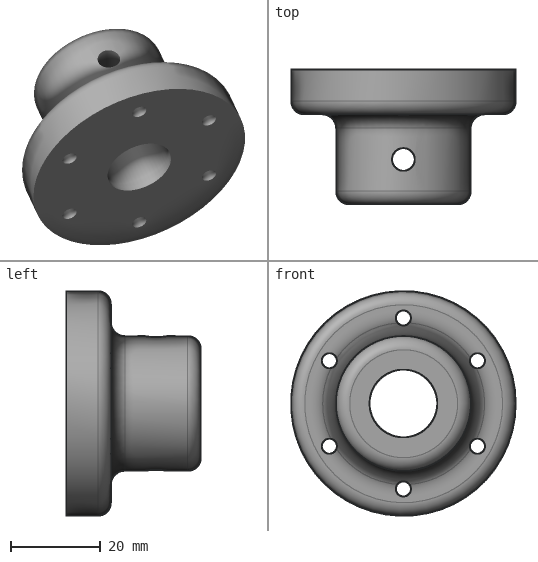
import cadquery as cq

flange_diameter = 50.0
flange_thickness = 10.0
hub_diameter = 30.0
hub_length = 20.0
bore_diameter = 15.0
edge_radius = 3.0
bolt_circle_diameter = 38.0
bolt_hole_diameter = 3.3
bolt_count = 6
cross_hole_diameter = 5.0

flange_radius = flange_diameter / 2
hub_radius = hub_diameter / 2
total_length = flange_thickness + hub_length
cross_hole_y = -flange_thickness - hub_length / 2


def flanged_hub():
    """Solid flange and hub along Y, with the flange back face at Y = 0."""
    flange = cq.Workplane("XZ").circle(flange_radius).extrude(flange_thickness)
    body = flange.faces("<Y").workplane().circle(hub_radius).extrude(hub_length)
    back_edge_y = -edge_radius
    rounded_edges = cq.selectors.BoxSelector(
        (-flange_diameter, -2 * total_length, -flange_diameter),
        (flange_diameter, back_edge_y, flange_diameter),
    )
    return body.edges("%CIRCLE").edges(rounded_edges).fillet(edge_radius)


def bore():
    """Central hole through the whole length."""
    return cq.Workplane("XZ").circle(bore_diameter / 2).extrude(total_length)


def bolt_holes():
    """Ring of through holes in the flange, the first one straight up."""
    return (
        cq.Workplane("XZ")
        .polarArray(bolt_circle_diameter / 2, 90, 360, bolt_count)
        .circle(bolt_hole_diameter / 2)
        .extrude(total_length)
    )


def cross_hole():
    """Vertical hole through both walls of the hub, halfway along it."""
    return (
        cq.Workplane("XY")
        .center(0, cross_hole_y)
        .circle(cross_hole_diameter / 2)
        .extrude(hub_radius, both=True)
    )


result = flanged_hub().cut(bore()).cut(bolt_holes()).cut(cross_hole())